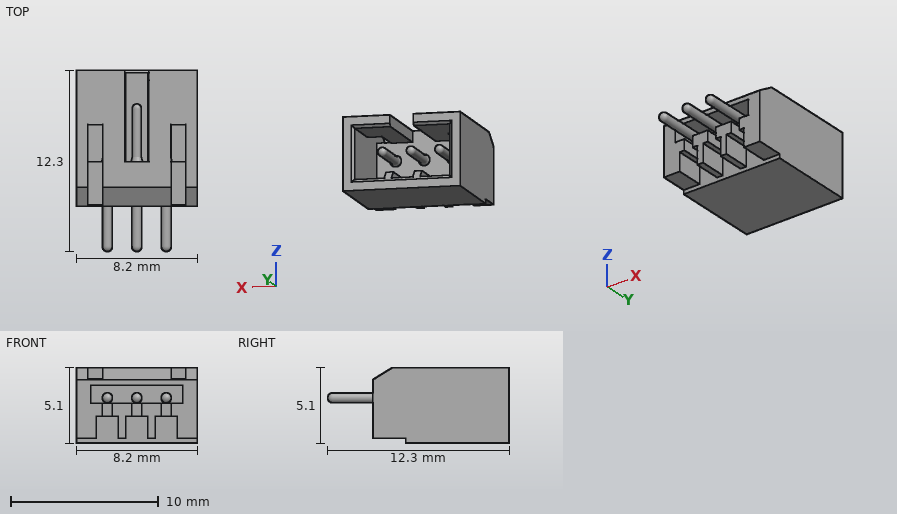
import cadquery as cq


HOUSING_WIDTH = 8.2
HOUSING_DEPTH = 9.22
HOUSING_HEIGHT = 5.1
WALL = 0.79
BEVEL_DEPTH = 1.3
BEVEL_HEIGHT = 0.8
UNDERCUT_DEPTH = 2.21
UNDERCUT_HEIGHT = 0.32

CAVITY_WIDTH = HOUSING_WIDTH - 2 * WALL
CAVITY_FRONT = 3.01
CAVITY_FLOOR = WALL
CAVITY_ROOF = HOUSING_HEIGHT - WALL
LEAD_IN = 0.2

KEY_SLOT_WIDTH = 1.62
RIB_GAP = 1.5
RIB_WIDTH = 0.5
RIB_HEIGHT = 0.5

NOTCH_WIDTH = 1.0
NOTCH_CENTER = (CAVITY_WIDTH - NOTCH_WIDTH) / 2
NOTCH_REAR = 5.54
NOTCH_FLOOR = 4.37

RECESS_DEPTH = UNDERCUT_DEPTH
NARROW_SLOT_DEPTH = 2.0
WINDOW_WIDTH = 6.21
WINDOW_BOTTOM = 2.7
WINDOW_TOP = 3.92
WIDE_SLOT_WIDTH = 1.5
WIDE_SLOT_TOP = 1.82

PIN_COUNT = 3
PIN_PITCH = 1.99
PIN_HEIGHT = 3.06
SOLDER_RADIUS = 0.35
SOLDER_LENGTH = 3.08
CONTACT_RADIUS = 0.31
CONTACT_TIP = 6.94
COLLAR_RADIUS = 0.39
COLLAR_LENGTH = 0.32
NARROW_SLOT_WIDTH = 2 * SOLDER_RADIUS

PIN_POSITIONS = [(i - (PIN_COUNT - 1) / 2) * PIN_PITCH for i in range(PIN_COUNT)]


def box(width, y_range, z_range, x_center=0):
    """Box centred on x_center that spans the given Y and Z ranges."""
    depth = y_range[1] - y_range[0]
    height = z_range[1] - z_range[0]
    block = cq.Workplane("XY").box(width, depth, height, centered=(True, False, False))
    return block.translate((x_center, y_range[0], z_range[0]))


def side_prism(points, width):
    """Prism of the given width, centred on X = 0, from an outline of (Y, Z) points."""
    return cq.Workplane("YZ").polyline(points).close().extrude(width / 2, both=True)


def make_block():
    """Solid housing with the sloped top front edge and the undercut front."""
    outline = [
        (0, UNDERCUT_HEIGHT),
        (UNDERCUT_DEPTH, UNDERCUT_HEIGHT),
        (UNDERCUT_DEPTH, 0),
        (HOUSING_DEPTH, 0),
        (HOUSING_DEPTH, HOUSING_HEIGHT),
        (BEVEL_DEPTH, HOUSING_HEIGHT),
        (0, HOUSING_HEIGHT - BEVEL_HEIGHT),
    ]
    return side_prism(outline, HOUSING_WIDTH)


def make_cavity():
    """Plug cavity, flared all round at its mouth."""
    cavity = box(CAVITY_WIDTH, (CAVITY_FRONT, HOUSING_DEPTH), (CAVITY_FLOOR, CAVITY_ROOF))
    flare = box(
        CAVITY_WIDTH + 2 * LEAD_IN,
        (HOUSING_DEPTH - LEAD_IN, HOUSING_DEPTH + LEAD_IN),
        (CAVITY_FLOOR - LEAD_IN, CAVITY_ROOF + LEAD_IN),
    )
    return cavity.union(flare.faces("<Y").chamfer(LEAD_IN))


def make_key_slot():
    """Slot through the roof, open at the mouth."""
    return box(KEY_SLOT_WIDTH, (CAVITY_FRONT, HOUSING_DEPTH), (CAVITY_ROOF, HOUSING_HEIGHT))


def make_rib(x):
    """Guide rib on the cavity floor; its sloped end runs into the flare of the mouth."""
    root = CAVITY_FLOOR - LEAD_IN
    top = CAVITY_FLOOR + RIB_HEIGHT
    outline = [
        (CAVITY_FRONT, root),
        (HOUSING_DEPTH, root),
        (HOUSING_DEPTH - (top - root), top),
        (CAVITY_FRONT, top),
    ]
    return side_prism(outline, RIB_WIDTH).translate((x, 0, 0))


def make_notch(x):
    """Latch notch: a channel over the front wall that opens into the cavity behind it."""
    channel = box(NOTCH_WIDTH, (0, NOTCH_REAR), (NOTCH_FLOOR, HOUSING_HEIGHT), x)
    opening = box(NOTCH_WIDTH, (CAVITY_FRONT, NOTCH_REAR), (CAVITY_ROOF, HOUSING_HEIGHT), x)
    return channel.union(opening)


def make_front_recesses():
    """Window around the pins, with a stepped slot running down from it below each pin."""
    y_range = (0, RECESS_DEPTH)
    recesses = box(WINDOW_WIDTH, y_range, (WINDOW_BOTTOM, WINDOW_TOP))
    for x in PIN_POSITIONS:
        narrow = box(NARROW_SLOT_WIDTH, (0, NARROW_SLOT_DEPTH), (WIDE_SLOT_TOP, WINDOW_BOTTOM), x)
        wide = box(WIDE_SLOT_WIDTH, y_range, (0, WIDE_SLOT_TOP), x)
        recesses = recesses.union(narrow).union(wide)
    return recesses


def make_pin(x):
    """Round pin along Y with domed ends and a tapered collar where it enters the cavity."""
    solder_dome = -SOLDER_LENGTH + SOLDER_RADIUS
    contact_dome = CONTACT_TIP - CONTACT_RADIUS
    dome_ratio = 0.5 ** 0.5
    solder_mid = dome_ratio * SOLDER_RADIUS
    contact_mid = dome_ratio * CONTACT_RADIUS
    half_section = (
        cq.Workplane("XY")
        .moveTo(0, -SOLDER_LENGTH)
        .threePointArc((solder_mid, solder_dome - solder_mid), (SOLDER_RADIUS, solder_dome))
        .lineTo(SOLDER_RADIUS, RECESS_DEPTH)
        .lineTo(COLLAR_RADIUS, RECESS_DEPTH)
        .lineTo(COLLAR_RADIUS, CAVITY_FRONT)
        .lineTo(CONTACT_RADIUS, CAVITY_FRONT + COLLAR_LENGTH)
        .lineTo(CONTACT_RADIUS, contact_dome)
        .threePointArc((contact_mid, contact_dome + contact_mid), (0, CONTACT_TIP))
        .close()
    )
    return half_section.revolve(360, (0, 0, 0), (0, 1, 0)).translate((x, 0, PIN_HEIGHT))


result = make_block().cut(make_cavity()).cut(make_key_slot()).cut(make_front_recesses())

for notch_x in (-NOTCH_CENTER, NOTCH_CENTER):
    result = result.cut(make_notch(notch_x))

rib_center = (RIB_GAP + RIB_WIDTH) / 2
for rib_x in (-rib_center, rib_center):
    result = result.union(make_rib(rib_x))

for pin_x in PIN_POSITIONS:
    result = result.union(make_pin(pin_x))